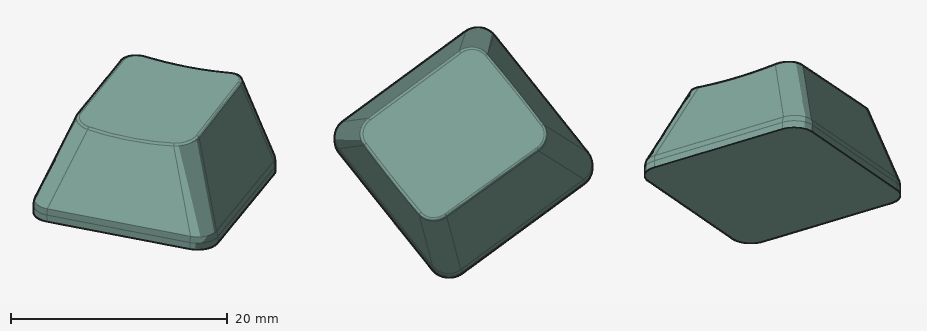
import cadquery as cq

base_size = 18.16
rim_height = 0.73
bend_height = 0.6
corner_radius = 2.0
wall_corner_radius = 1.85

side_slope = 0.382
front_slope = 0.395
back_slope = 0.085
blank_height = 10.17

dish_radius = 36.32
dish_floor = 8.77
dish_tilt = 0.9
top_edge_radius = 0.27


def section(height):
    """Rounded rectangle of the outside walls at the given height."""
    above_rim = height - rim_height
    if above_rim < bend_height:
        run = above_rim**2 / (2 * bend_height)
    else:
        run = above_rim - bend_height / 2
    width = base_size - 2 * run * side_slope
    depth = base_size - run * (front_slope + back_slope)
    shift_back = run * (front_slope - back_slope) / 2
    bend_share = min(above_rim / bend_height, 1)
    radius = corner_radius + (wall_corner_radius - corner_radius) * bend_share**2
    outline = cq.Sketch().rect(width, depth).vertices().fillet(radius)
    return outline.moved(cq.Location(cq.Vector(0, shift_back, height)))


def loft_through(heights, ruled):
    sections = [section(height) for height in heights]
    return cq.Workplane("XY").placeSketch(*sections).loft(ruled=ruled)


def make_blank():
    bend_top = rim_height + bend_height
    rim = (
        cq.Workplane("XY")
        .rect(base_size, base_size)
        .extrude(rim_height)
        .edges("|Z")
        .fillet(corner_radius)
    )
    bend = loft_through([rim_height, rim_height + bend_height / 2, bend_top], ruled=False)
    walls = loft_through([bend_top, blank_height], ruled=True)
    return rim.union(bend).union(walls)


def make_dish_cutter():
    """Long tilted cylinder along Y whose lowest line is the valley of the dish."""
    return (
        cq.Workplane("XZ")
        .center(0, dish_radius)
        .circle(dish_radius)
        .extrude(base_size, both=True)
        .rotate((0, 0, 0), (1, 0, 0), dish_tilt)
        .translate((0, 0, dish_floor))
    )


keycap = make_blank().cut(make_dish_cutter())

result = keycap.faces(">Z").edges().fillet(top_edge_radius)